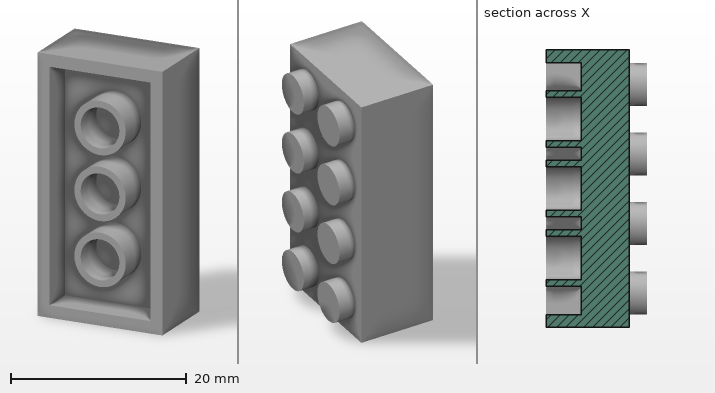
import cadquery as cq

columns = 2
rows = 4
pitch = 7.9

width = columns * pitch
height = rows * pitch
depth = 9.5
wall = 1.5
cavity_depth = 4.0

stud_diameter = 4.9
stud_height = 2.0

tube_outer_diameter = 6.5
tube_inner_diameter = 4.9

open_face_y = 0.0
roof_inner_y = open_face_y + cavity_depth
roof_outer_y = open_face_y + depth


def block(size_x, size_z, y_start, y_end):
    """Box centred on X and Z, spanning y_start to y_end."""
    length = y_end - y_start
    return cq.Workplane("XY").box(size_x, length, size_z).translate((0, y_start + length / 2, 0))


def cylinders(points, diameter, y_start, y_end):
    """Cylinders along +Y at the given (x, z) points."""
    plane = cq.Plane(origin=(0, y_end, 0), xDir=(1, 0, 0), normal=(0, -1, 0))
    return cq.Workplane(plane).pushPoints(points).circle(diameter / 2).extrude(y_end - y_start)


def grid_points(count_x, count_z):
    """(x, z) points of a centred grid at the stud pitch."""
    return [
        ((i - (count_x - 1) / 2) * pitch, (j - (count_z - 1) / 2) * pitch)
        for i in range(count_x)
        for j in range(count_z)
    ]


shell = block(width, height, open_face_y, roof_outer_y).cut(
    block(width - 2 * wall, height - 2 * wall, open_face_y, roof_inner_y)
)

studs = cylinders(grid_points(columns, rows), stud_diameter, roof_outer_y, roof_outer_y + stud_height)

tube_points = grid_points(columns - 1, rows - 1)
tubes = cylinders(tube_points, tube_outer_diameter, open_face_y, roof_inner_y).cut(
    cylinders(tube_points, tube_inner_diameter, open_face_y, roof_inner_y)
)

result = shell.union(studs).union(tubes)